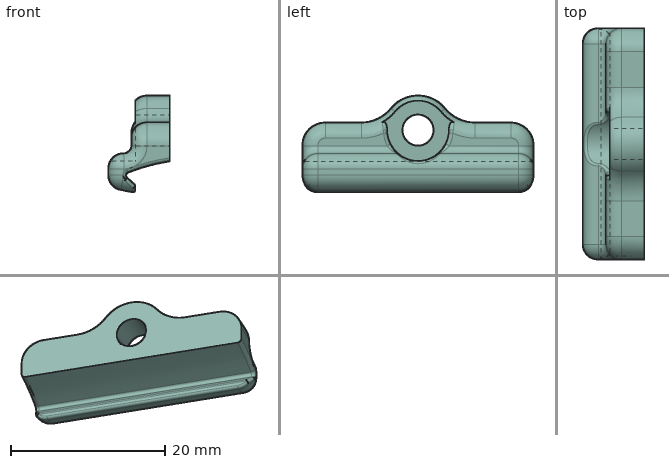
import cadquery as cq
import math

depth = 8.0
length = 30.0
plate_front = 3.0
edge_round = 2.0
half_length = length / 2

boss_radius = 4.5
wing_top = 1.0
wing_corner = 3.0
boss_blend = 5.0

lip_radius = 2.0
lip_neck = 1.0
lip_top = -3.0
lip_flat = 0.8
lip_slope = math.radians(11)

underside_back = -4.05
underside_radius = 25.0
channel_apex = (2.0, -5.75)
channel_corner = 0.4
hook_angle = math.radians(42)
hook_root = 2.47
trim_start = 2.0
hook_tip = 3.53
tip_round = 0.35
channel_round = 0.5

bore_diameter = 4.0
seat_radius = 4.0
seat_face = 3.5
seat_round = 0.5

margin = 5.0
tolerance = 0.01


def plate_outline():
    """Boss and wings seen along X, closed well below the body."""
    blend_y = math.sqrt((boss_radius + boss_blend) ** 2 - (wing_top + boss_blend) ** 2)
    blend_z = wing_top + boss_blend
    share = boss_radius / (boss_radius + boss_blend)
    join = (blend_y * share, blend_z * share)
    bend = math.atan2(blend_z, blend_y) / 2 + math.pi / 4
    middle = (blend_y - boss_blend * math.cos(bend), blend_z - boss_blend * math.sin(bend))
    corner_y = half_length - wing_corner
    corner_z = wing_top - wing_corner
    reach = wing_corner * math.sqrt(0.5)
    floor = lip_top - 2 * lip_radius - margin
    return (
        cq.Workplane("YZ")
        .moveTo(half_length, floor)
        .lineTo(half_length, corner_z)
        .threePointArc((corner_y + reach, corner_z + reach), (corner_y, wing_top))
        .lineTo(blend_y, wing_top)
        .threePointArc(middle, join)
        .threePointArc((0, boss_radius), (-join[0], join[1]))
        .threePointArc((-middle[0], middle[1]), (-blend_y, wing_top))
        .lineTo(-corner_y, wing_top)
        .threePointArc((-corner_y - reach, corner_z + reach), (-half_length, corner_z))
        .lineTo(-half_length, floor)
        .close()
    )


def lip_slope_z(x):
    """Height of the sloping lower face of the lip at a given X."""
    start_x = lip_radius - lip_radius * math.sin(lip_slope)
    start_z = lip_top - lip_radius - lip_flat - lip_radius * math.cos(lip_slope)
    return start_z - (x - start_x) * math.tan(lip_slope)


def side_profile():
    """Front and lip contour seen along Y, without the channel."""
    neck_z = lip_top + lip_neck
    upper_z = lip_top - lip_radius
    lower_z = upper_z - lip_flat
    diagonal = math.sqrt(0.5)
    half_turn = (math.pi / 2 - lip_slope) / 2
    slope_x = lip_radius - lip_radius * math.sin(lip_slope)
    return (
        cq.Workplane("XZ", origin=(0, half_length, 0))
        .moveTo(depth, boss_radius + margin)
        .lineTo(plate_front, boss_radius + margin)
        .lineTo(plate_front, neck_z)
        .threePointArc(
            (plate_front - lip_neck * (1 - diagonal), neck_z - lip_neck * diagonal),
            (plate_front - lip_neck, lip_top),
        )
        .threePointArc(
            (lip_radius * (1 - diagonal), upper_z + lip_radius * diagonal),
            (0, upper_z),
        )
        .lineTo(0, lower_z)
        .threePointArc(
            (lip_radius * (1 - math.cos(half_turn)), lower_z - lip_radius * math.sin(half_turn)),
            (slope_x, lip_slope_z(slope_x)),
        )
        .lineTo(depth, lip_slope_z(depth))
        .close()
    )


def rounded_body():
    """Plate and lip as one solid, with the whole front edge rounded."""
    plate = plate_outline().extrude(depth)
    body = side_profile().extrude(length).intersect(plate)
    front_edges = body.edges(cq.selectors.BoxSelector(
        (plate_front - tolerance, -half_length - tolerance, wing_top - tolerance),
        (plate_front + tolerance, -boss_radius, wing_top + tolerance),
        boundingbox=True,
    ))
    return front_edges.fillet(edge_round)


def arc_middle(start, end, radius):
    """Middle point of the arc of this radius that bulges to the left of start -> end."""
    chord_x = end[0] - start[0]
    chord_z = end[1] - start[1]
    chord = math.hypot(chord_x, chord_z)
    bulge = radius - math.sqrt(radius ** 2 - (chord / 2) ** 2)
    return (
        (start[0] + end[0]) / 2 - chord_z / chord * bulge,
        (start[1] + end[1]) / 2 + chord_x / chord * bulge,
    )


def hook_z(x):
    """Height of the straight inner face of the hook at a given X."""
    return channel_apex[1] - (x - channel_apex[0]) * math.tan(hook_angle)


def channel_cutter():
    """Space below the arched underside and behind the hook."""
    back = (depth, underside_back)
    floor = lip_slope_z(depth) - margin
    return (
        cq.Workplane("XZ", origin=(0, half_length + margin, 0))
        .moveTo(*back)
        .threePointArc(arc_middle(channel_apex, back, underside_radius), channel_apex)
        .lineTo(hook_tip, hook_z(hook_tip))
        .lineTo(hook_tip, floor)
        .lineTo(depth, floor)
        .close()
        .extrude(length + 2 * margin)
        .edges(cq.selectors.NearestToPointSelector((channel_apex[0], 0, channel_apex[1])))
        .fillet(channel_corner)
    )


def hooked_bar():
    """Straight bar with the side contour, its channel rounded at the tip and both ends."""
    bar = side_profile().extrude(length).cut(channel_cutter())
    tip_zone = cq.selectors.BoxSelector(
        (hook_tip - tolerance, -half_length - tolerance, lip_slope_z(hook_tip) - tolerance),
        (hook_tip + tolerance, half_length + tolerance, channel_apex[1]),
        boundingbox=True,
    )
    bar = bar.edges(tip_zone).edges("|Y").fillet(tip_round)
    under_x, under_z = arc_middle(channel_apex, (depth, underside_back), underside_radius)
    for end in (-half_length, half_length):
        underside = cq.selectors.NearestToPointSelector((under_x, end, under_z))
        bar = bar.edges(underside).fillet(channel_round)
    return bar


def seat_slot():
    """Slot with a round bottom, open upward, reaching past the seat face."""
    top = boss_radius + margin
    return (
        cq.Workplane("YZ", origin=(-margin, 0, 0))
        .moveTo(-seat_radius, top)
        .lineTo(-seat_radius, 0)
        .threePointArc((0, -seat_radius), (seat_radius, 0))
        .lineTo(seat_radius, top)
        .close()
        .extrude(margin + seat_face + seat_round)
    )


def is_rim(edge):
    """True for edges of the seat slot that lie on the front of the body."""
    middle = edge.positionAt(0.5)
    on_front = middle.x < plate_front + edge_round - tolerance
    across = abs(middle.y) if middle.z > 0 else math.hypot(middle.y, middle.z)
    on_wall = abs(across - seat_radius) < tolerance
    on_floor = edge.BoundingBox().xmin > seat_face + seat_round - tolerance
    return on_front and on_wall and not on_floor


def add_seat(body):
    """Sink the screw seat into the front and round its rim."""
    slot = seat_slot()
    behind_seat = body.intersect(
        cq.Workplane("XY").box(depth, 2 * length, 2 * length).translate((seat_face + depth / 2, 0, 0))
    )
    slotted = body.cut(slot)
    rim = [edge for edge in slotted.edges("not #X").vals() if is_rim(edge)]
    return slotted.newObject(rim).fillet(seat_round).union(behind_seat)


def hook_trim():
    """Material that rounds off the two ends of the hook when it is removed."""
    span = hook_tip - trim_start
    middle = (trim_start + hook_tip) / 2
    start_plane = cq.Workplane("XZ", origin=(0, half_length, 0))
    block = (
        start_plane
        .moveTo(trim_start, lip_slope_z(trim_start))
        .lineTo(hook_tip, lip_slope_z(hook_tip))
        .line(0, 2 * lip_radius + span)
        .line(-span, 0)
        .close()
        .extrude(length)
    )
    for end in (-half_length, half_length):
        lower_edge = cq.selectors.NearestToPointSelector((middle, end, lip_slope_z(middle)))
        block = block.edges(lower_edge).fillet(edge_round)
    hook = (
        start_plane
        .moveTo(trim_start, hook_z(trim_start))
        .lineTo(hook_tip, hook_z(hook_tip))
        .lineTo(hook_tip, lip_slope_z(hook_tip))
        .lineTo(trim_start, lip_slope_z(trim_start))
        .close()
        .extrude(length)
        .intersect(block)
    )
    inner_face = cq.selectors.NearestToPointSelector((middle, 0, hook_z(middle)))
    end_edges = hook.faces(">X").edges("not |Y").add(hook.faces(inner_face).edges("not |Y"))
    along_hook = cq.Plane(
        origin=(hook_root, 0, hook_z(hook_root)),
        normal=(math.cos(hook_angle), 0, -math.sin(hook_angle)),
    )
    past_root = cq.Workplane(along_hook).rect(2 * length, 2 * length).extrude(length)
    return hook.cut(end_edges.fillet(tip_round)).intersect(past_root)


seated = add_seat(rounded_body())
bore = cq.Workplane("YZ").circle(bore_diameter / 2).extrude(depth)
result = seated.intersect(hooked_bar()).cut(hook_trim()).cut(bore)